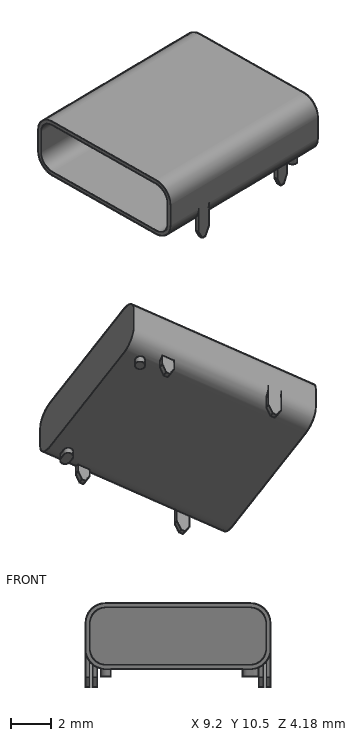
import cadquery as cq

width = 9.2
length = 10.5
total_height = 4.18
leg_drop = 0.89
height = total_height - leg_drop
corner_radius = 1.01
wall = 0.22

tip_width = 0.23
taper_height = 0.49
front_leg_width = 0.74
front_leg_y = -2.88
front_leg_thickness = wall
rear_leg_width = 0.67
rear_leg_y = 3.07
rear_leg_thickness = 0.25
rear_leg_inset = 0.35

peg_diameter = 0.5
peg_drop = 0.38
peg_y = 4.3
peg_x = width / 2 - corner_radius
oblong_length = 0.8


def rounded_bar(bar_width, bar_height, bar_length, radius):
    """Bar along Y with rounded long edges, centred on X and Y, standing on Z = 0."""
    bar = cq.Workplane("XY").box(bar_width, bar_length, bar_height, centered=(True, True, False))
    return bar.edges("|Y").fillet(radius)


def make_cavity():
    """Inside of the sleeve, leaving one wall thickness at the back."""
    cavity = rounded_bar(width - 2 * wall, height - 2 * wall, length, corner_radius - wall)
    return cavity.translate((0, -wall, wall))


def make_leg(outer_x, thickness, leg_y, leg_width, root_z):
    """Left-hand leg whose outer face lies at outer_x and whose top is at root_z."""
    taper_z = taper_height - leg_drop
    outline = [
        (leg_y - leg_width / 2, root_z),
        (leg_y - leg_width / 2, taper_z),
        (leg_y - tip_width / 2, -leg_drop),
        (leg_y + tip_width / 2, -leg_drop),
        (leg_y + leg_width / 2, taper_z),
        (leg_y + leg_width / 2, root_z),
    ]
    return cq.Workplane("YZ", origin=(outer_x, 0, 0)).polyline(outline).close().extrude(thickness)


def make_pegs():
    """Round and oblong pegs; their roots reach inside the shell and are trimmed by the cavity."""
    height_with_root = peg_drop + corner_radius
    base = cq.Workplane("XY", origin=(0, 0, -peg_drop))
    round_peg = base.center(-peg_x, peg_y).circle(peg_diameter / 2).extrude(height_with_root)
    oblong_peg = base.center(peg_x, peg_y).slot2D(oblong_length, peg_diameter).extrude(height_with_root)
    return round_peg.union(oblong_peg)


left_legs = make_leg(-width / 2, front_leg_thickness, front_leg_y, front_leg_width, corner_radius).union(
    make_leg(-width / 2 + rear_leg_inset, rear_leg_thickness, rear_leg_y, rear_leg_width, corner_radius)
)

result = (
    rounded_bar(width, height, length, corner_radius)
    .union(left_legs)
    .union(left_legs.mirror("YZ"))
    .union(make_pegs())
    .cut(make_cavity())
)